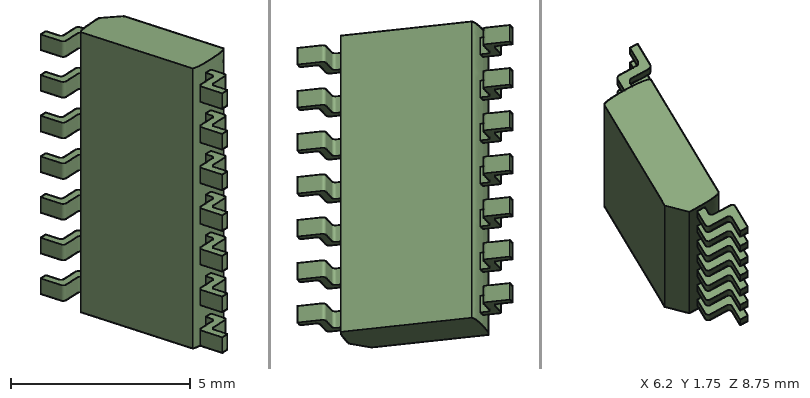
import cadquery as cq
body_width = 4.0
body_length = 8.75
body_thickness = 1.5
standoff = 0.25
pin_one_chamfer = 0.5
side_draft = 0.09
crest_pull = 0.5
shoulder_draft = 0.045
shoulder_depth = 0.05

lead_count = 7
lead_pitch = 1.27
lead_width = 0.49
lead_thickness = 0.25
lead_span = 6.2
shank_outer_x = 2.55
bend_radius = 0.1
lead_embed = 0.3

half_width = body_width / 2
face_half_width = half_width - side_draft
front_y = standoff
back_y = standoff + body_thickness
mid_y = standoff + body_thickness / 2


def extrude_centred(profile, length, centre_z):
    """Extrude an XY profile along Z about the given centre."""
    return profile.extrude(length).translate((0, 0, centre_z - length / 2))


def flank_poles(side_x, side_y):
    """Bezier poles of one flank quarter, from its crest at mid thickness to a Y face.

    side_x and side_y are +1 or -1 and pick the quarter of the section.
    """
    half_thickness = body_thickness / 2
    offsets = [
        (half_width, 0),
        (half_width, crest_pull),
        (half_width - shoulder_draft, half_thickness - shoulder_depth),
        (face_half_width, half_thickness),
    ]
    return [(side_x * x, mid_y + side_y * y) for x, y in offsets]


def make_body():
    """Moulded body with three curved flank quarters and a chamfer marking the pin 1 side."""
    profile = (
        cq.Workplane("XY")
        .moveTo(-face_half_width, front_y)
        .lineTo(face_half_width, front_y)
        .bezier(flank_poles(1, -1)[::-1])
        .bezier(flank_poles(1, 1))
        .lineTo(pin_one_chamfer - half_width, back_y)
        .lineTo(-half_width, back_y - pin_one_chamfer)
        .lineTo(-half_width, mid_y)
        .bezier(flank_poles(-1, -1))
        .close()
    )
    return extrude_centred(profile, body_length, 0)


def make_lead(centre_z):
    """Lead on the +X side: arm out of the body, shank down, foot outwards."""
    toe_x = lead_span / 2
    root_x = half_width - lead_embed
    shank_inner_x = shank_outer_x - lead_thickness
    profile = (
        cq.Workplane("XY")
        .moveTo(root_x, mid_y)
        .lineTo(shank_outer_x, mid_y)
        .lineTo(shank_outer_x, lead_thickness)
        .lineTo(toe_x, lead_thickness)
        .lineTo(toe_x, 0)
        .lineTo(shank_inner_x, 0)
        .lineTo(shank_inner_x, mid_y - lead_thickness)
        .lineTo(root_x, mid_y - lead_thickness)
        .close()
    )
    lead = extrude_centred(profile, lead_width, centre_z)
    bend_zone = cq.selectors.BoxSelector(
        (shank_inner_x - bend_radius, -bend_radius, -body_length),
        (shank_outer_x + bend_radius, mid_y + bend_radius, body_length),
    )
    return lead.edges("|Z").edges(bend_zone).fillet(bend_radius)


result = make_body()
for index in range(lead_count):
    lead_z = (index - (lead_count - 1) / 2) * lead_pitch
    right_lead = make_lead(lead_z)
    result = result.union(right_lead).union(right_lead.mirror("YZ"))